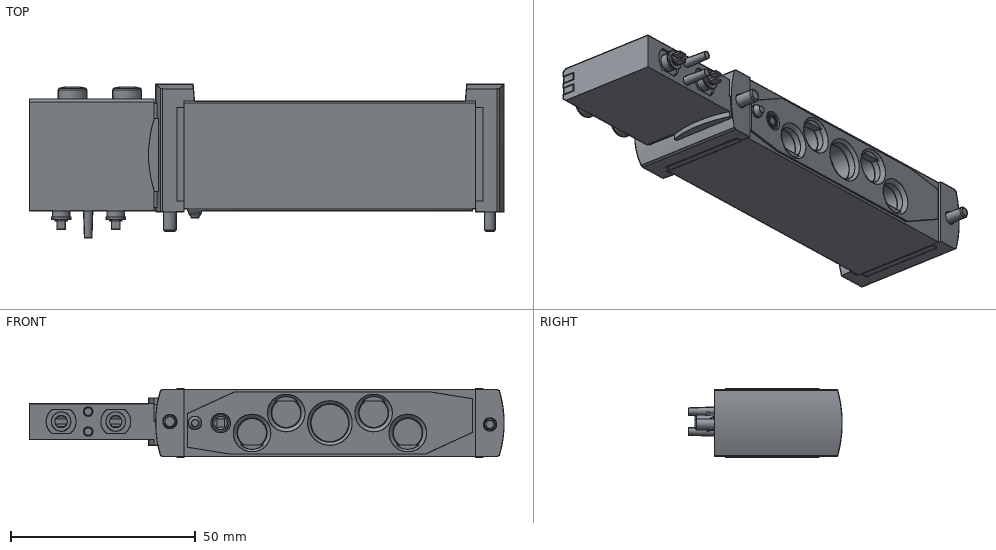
import cadquery as cq

body_left = -22.3
body_right = 56.5
body_front = -13.0
body_back = 16.2
body_top = 9.1
back_bevel_depth = 0.5
back_bevel_height = 0.8
mid_x = (body_left + body_right) / 2

port_face_y = -13.5
port_face_half_length = 38.5
port_face_half_height = 8.3
port_face_low_corner = 2.6
port_face_high_corner = 6.5
short_run_x = 26.0
long_run_x = 27.5

port_bore = 7.8
port_throat = 8.1
port_mouth = 10.1
port_depth = 7.7
throat_depth = 2.8
ledge_z = 5.9
ledge_depth = 0.6
inner_port_offset = 11.8
outer_port_offset = 21.0
port_offset_z = 2.7
main_bore = 10.1
main_throat = 10.4
main_mouth = 12.1

nipple_x = -19.4
nipple_base = 3.6
nipple_neck = 2.3
nipple_tip = 1.9
nipple_rim_y = -14.0
nipple_neck_y = -14.9
nipple_end = -15.4
socket_x = -12.5
socket_rim = 5.3
socket_step = 4.5
socket_bore = 3.6
socket_step_depth = 0.3
socket_depth = 0.6
stud_side = 2.0
stud_height = 0.4

cap_outer_x = -30.0
cap_front = -13.7
cap_back = 20.8
crown_drop = 1.3
cap_shoulder_z = 8.7
cap_edge_x = -28.1
hook_root_x = -19.5
hook_tip_x = -19.9
rib_width = 1.9
rib_height = 0.3
rib_front = -10.8
rib_back = 14.5
cap_pin_x = -26.2
cap_pin_end = -19.0
pin_chamfer = 0.4
pin_clearance_depth = 1.3

pilot_left = -64.2
pilot_right = -30.4
pilot_front = -13.5
pilot_back = 16.8
pilot_bottom = -4.5
pilot_top = 5.3
pilot_mid_z = (pilot_bottom + pilot_top) / 2
pilot_bevel_depth = 0.9
pilot_bevel_height = 0.8
joint_x = -28.6
neck_inset = 0.3
neck_front = -12.6
neck_back = 15.7
lug_height = 1.5
lug_length = 19.8
lug_bulge = 1.5
top_lug_front = -8.2
bottom_lug_front = pilot_front
lens_front = 13.2
lens_height = 2.0
lens_spacing = 3.5
lens_depth = 0.3

screw_pitch = 14.8
front_screw_x = -55.6
pocket_diameter = 8.1
pocket_height = 6.5
pocket_depth = 0.6
shank_diameter = 4.8
shank_end = -15.2
flange_diameter = 5.3
flange_end = -15.8
collar_diameter = 3.3
collar_end = -16.2
prong_width = 2.3
prong_thickness = 0.6
prong_spacing = 1.9
prong_end = -18.5
contact_x = -48.3
contact_spacing = 5.4
contact_base = 2.6
contact_tip = 2.0
contact_end = -20.8

back_knob_x = -52.5
knob_diameter = 7.8
knob_dome = 7.3
knob_crown = 4.1
knob_band_y = 19.1
knob_dome_y = 19.6
knob_end = 20.0

overlap = 0.4


def box(x0, x1, y0, y1, z0, z1):
    """A box between opposite corners."""
    return cq.Workplane("XY").box(x1 - x0, y1 - y0, z1 - z0, centered=False).translate((x0, y0, z0))


def turned(x, z, profile):
    """A round feature along Y about (x, z), from (diameter, y) points of its outline."""
    points = [(diameter / 2, y) for diameter, y in profile]
    outline = [(0, points[0][1])] + points + [(0, points[-1][1])]
    solid = cq.Workplane("XY").polyline(outline).close().revolve(360, (0, 0), (0, 1))
    return solid.translate((x, 0, z))


def rod(x, z, diameter, y0, y1):
    """A plain cylinder along Y."""
    return turned(x, z, [(diameter, y0), (diameter, y1)])


def half_turn(shape):
    """The shape turned half round about the vertical mid line of the port face."""
    return shape.rotate((mid_x, 0, 0), (mid_x, 1, 0), 180)


def port(x, z, bore, throat, mouth):
    """A countersunk, stepped blind bore; a flat ledge crosses its throat where it nears the outer wall."""
    cone_end = port_face_y + (mouth - throat) / 2
    throat_end = port_face_y + throat_depth
    hole = turned(x, z, [
        (mouth, port_face_y),
        (throat, cone_end),
        (throat, throat_end),
        (bore, throat_end),
        (bore, port_face_y + port_depth),
    ])
    return hole if z == 0 else hole.cut(make_ledge(x, z, throat_end))


def make_ledge(x, z, back_y):
    """The bar across a port throat, on the side of the nearer wall."""
    z0, z1 = (ledge_z, body_top) if z > 0 else (-body_top, -ledge_z)
    return box(x - port_mouth, x + port_mouth, port_face_y + ledge_depth, back_y, z0, z1)


def make_port_face():
    """The raised six-sided front face, cut off at both ends."""
    corners = [
        (-port_face_half_length, port_face_low_corner),
        (-short_run_x, port_face_half_height),
        (long_run_x, port_face_half_height),
        (port_face_half_length, port_face_high_corner),
    ]
    corners += [(-x, -z) for x, z in corners]
    face = cq.Workplane("XZ").polyline(corners).close().extrude(-port_face_y)
    face = face.intersect(box(-port_face_half_length, port_face_half_length, port_face_y, body_front + overlap,
                              -body_top, body_top))
    return face.translate((mid_x, 0, 0))


def make_screw_socket():
    """The stepped hole, less the square stud that stands on its floor."""
    floor_y = port_face_y + socket_depth
    step_y = port_face_y + socket_step_depth
    hole = turned(socket_x, 0, [
        (socket_rim, port_face_y),
        (socket_step, step_y),
        (socket_bore, step_y),
        (socket_bore, floor_y),
    ])
    stud = box(socket_x - stud_side / 2, socket_x + stud_side / 2, floor_y - stud_height, floor_y,
               -stud_side / 2, stud_side / 2)
    return hole.cut(stud)


def make_body():
    bevel_y = body_back - back_bevel_depth
    bevel_z = body_top - back_bevel_height
    section = [
        (body_front, -body_top), (bevel_y, -body_top), (body_back, -bevel_z),
        (body_back, bevel_z), (bevel_y, body_top), (body_front, body_top),
    ]
    body = cq.Workplane("YZ").polyline(section).close().extrude(body_right - body_left)
    body = body.translate((body_left, 0, 0)).union(make_port_face())

    body = body.cut(port(mid_x, 0, main_bore, main_throat, main_mouth))
    for side in (-1, 1):
        for offset_x, port_z in ((inner_port_offset, port_offset_z), (outer_port_offset, -port_offset_z)):
            body = body.cut(port(mid_x + side * offset_x, port_z, port_bore, port_throat, port_mouth))

    body = body.cut(make_screw_socket())
    nipple = turned(nipple_x, 0, [
        (nipple_base, body_front),
        (nipple_base, nipple_rim_y),
        (nipple_neck, nipple_neck_y),
        (nipple_tip, nipple_end),
    ])
    return body.union(nipple)


def make_cap(pin_diameter, clearance_diameter):
    """The left end cap: crowned outer and back faces, hooked behind the body, with its pin."""
    shoulder_x = cap_outer_x + crown_drop
    crowned_end = (
        cq.Workplane("XZ", origin=(0, cap_back, 0))
        .moveTo(hook_root_x, -body_top)
        .lineTo(cap_edge_x, -body_top)
        .lineTo(shoulder_x, -cap_shoulder_z)
        .threePointArc((cap_outer_x, 0), (shoulder_x, cap_shoulder_z))
        .lineTo(cap_edge_x, body_top)
        .lineTo(hook_root_x, body_top)
        .close()
        .extrude(cap_back - cap_front)
    )
    crowned_back = (
        cq.Workplane("YZ", origin=(cap_outer_x, 0, 0))
        .moveTo(cap_front, -body_top)
        .lineTo(cap_back - crown_drop, -body_top)
        .threePointArc((cap_back, 0), (cap_back - crown_drop, body_top))
        .lineTo(cap_front, body_top)
        .close()
        .extrude(hook_root_x - cap_outer_x)
    )
    hook_plan = [
        (cap_outer_x, cap_front), (body_left, cap_front), (body_left, body_back),
        (hook_root_x, body_back), (hook_tip_x, cap_back), (cap_outer_x, cap_back),
    ]
    plan = cq.Workplane("XY").polyline(hook_plan).close().extrude(body_top, both=True)
    cap = crowned_end.intersect(crowned_back).intersect(plan)
    rib_z = body_top + rib_height
    cap = cap.union(box(body_left - rib_width, body_left, rib_front, rib_back, -rib_z, rib_z))

    clearance_end = cap_front + pin_clearance_depth
    cap = cap.cut(rod(cap_pin_x, pilot_mid_z, clearance_diameter, cap_front, clearance_end))
    pin = turned(cap_pin_x, pilot_mid_z, [
        (pin_diameter - 2 * pin_chamfer, cap_pin_end),
        (pin_diameter, cap_pin_end + pin_chamfer),
        (pin_diameter, clearance_end + overlap),
    ])
    return cap.union(pin)


def make_lug(front_y, z0, z1):
    """A locating lug with a bowed outer edge."""
    back_y = front_y + lug_length
    return (
        cq.Workplane("XY", origin=(0, 0, z0))
        .moveTo(joint_x, front_y)
        .lineTo(pilot_right, front_y)
        .threePointArc((pilot_right - lug_bulge, (front_y + back_y) / 2), (pilot_right, back_y))
        .lineTo(joint_x, back_y)
        .close()
        .extrude(z1 - z0)
    )


def make_terminal_screw(x):
    """A flanged terminal screw ending in two flat prongs."""
    screw = turned(x, pilot_mid_z, [
        (shank_diameter, pilot_front + pocket_depth + overlap),
        (shank_diameter, shank_end),
        (flange_diameter, shank_end),
        (flange_diameter, flange_end),
        (collar_diameter, flange_end),
        (collar_diameter, collar_end),
    ])
    for side in (-1, 1):
        prong_z = pilot_mid_z + side * prong_spacing / 2
        screw = screw.union(box(x - prong_width / 2, x + prong_width / 2, prong_end, flange_end,
                                prong_z - prong_thickness / 2, prong_z + prong_thickness / 2))
    return screw


def make_screw_pocket(x):
    """A shallow round pocket with a flat top and bottom."""
    pocket_end = pilot_front + pocket_depth
    limits = box(x - pocket_diameter, x + pocket_diameter, pilot_front, pocket_end,
                 pilot_mid_z - pocket_height / 2, pilot_mid_z + pocket_height / 2)
    return rod(x, pilot_mid_z, pocket_diameter, pilot_front, pocket_end).intersect(limits)


def make_knob(x):
    """A round knob with a domed crown."""
    return turned(x, pilot_mid_z, [
        (knob_diameter, pilot_back - overlap),
        (knob_diameter, knob_band_y),
        (knob_dome, knob_dome_y),
        (knob_crown, knob_end),
    ])


def make_pilot(cap):
    """The pilot block with its terminals and knobs; its joint follows the crowned face of the cap."""
    bevel_y = pilot_back - pilot_bevel_depth
    section = [
        (pilot_front, pilot_bottom),
        (bevel_y, pilot_bottom),
        (pilot_back, pilot_bottom + pilot_bevel_height),
        (pilot_back, pilot_top - pilot_bevel_height),
        (bevel_y, pilot_top),
        (pilot_front, pilot_top),
    ]
    pilot = cq.Workplane("YZ").polyline(section).close().extrude(pilot_right - pilot_left)
    pilot = pilot.translate((pilot_left, 0, 0))
    pilot = pilot.union(box(pilot_right, joint_x, neck_front, neck_back,
                            pilot_bottom + neck_inset, pilot_top - neck_inset))
    pilot = pilot.union(make_lug(top_lug_front, pilot_mid_z, pilot_top + lug_height))
    pilot = pilot.union(make_lug(bottom_lug_front, pilot_bottom - lug_height, pilot_mid_z))
    pilot = pilot.cut(cap)

    for side in (-1, 1):
        lens_z = pilot_mid_z + side * lens_spacing / 2
        pilot = pilot.cut(box(pilot_left, pilot_left + lens_depth, lens_front, pilot_back,
                              lens_z - lens_height / 2, lens_z + lens_height / 2))
        contact = turned(contact_x, pilot_mid_z + side * contact_spacing / 2, [
            (contact_tip, contact_end),
            (contact_base, pilot_front + overlap),
        ])
        pilot = pilot.union(contact)

    for offset_x in (0, screw_pitch):
        screw_x = front_screw_x + offset_x
        pilot = pilot.cut(make_screw_pocket(screw_x)).union(make_terminal_screw(screw_x))
        pilot = pilot.union(make_knob(back_knob_x + offset_x))
    return pilot


valve_body = make_body()
left_cap = make_cap(pin_diameter=3.5, clearance_diameter=3.9)
right_cap = half_turn(make_cap(pin_diameter=3.0, clearance_diameter=3.6))
pilot_block = make_pilot(left_cap)

result = cq.Compound.makeCompound([
    valve_body.val(),
    left_cap.val(),
    right_cap.val(),
    pilot_block.val(),
])